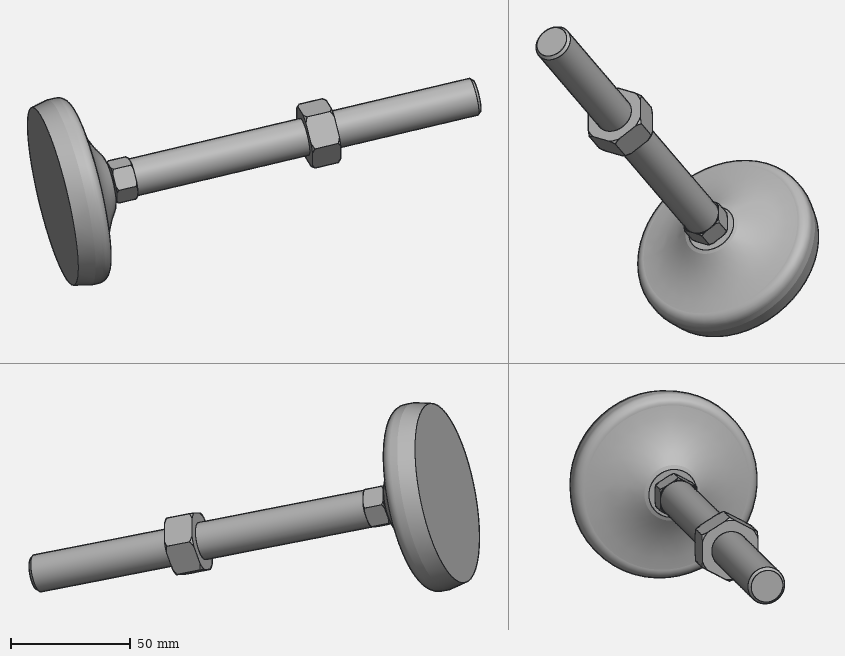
import cadquery as cq
import math

total_length = 185.0

base_radius = 80.0 / 2
sole_radius = 38.3
sole_taper_height = 7.2
rim_top = 10.5
rim_round = 4.5
shoulder_y = rim_top + rim_round
shoulder_radius = base_radius - rim_round
flank_mid_radius = 18.7
flank_mid_y = 20.0
crown_radius = 12.0
crown_y = 24.0
crown_flat_radius = 10.4
base_height = 24.6

neck_diameter = 10.0

stud_diameter = 16.0
stud_chamfer_width = 1.1
stud_chamfer_height = 1.3

foot_hex_flats = 16.0
foot_hex_start = 25.7
foot_hex_height = 9.0
foot_hex_chamfer = 0.7

nut_flats = 24.0
nut_start = 109.9
nut_height = 12.4
nut_chamfer = 1.1


def cylinder(diameter, start, height):
    """Cylinder on the Y axis, from Y = start toward +Y."""
    return cq.Workplane("XZ", origin=(0, start, 0)).circle(diameter / 2).extrude(-height)


def chamfered_hexagon(flats, start, height, chamfer):
    """Hexagon on the Y axis with two flats facing X and its corners turned off at both ends."""
    corner_radius = flats / 2 / math.cos(math.pi / 6)
    corners = [
        (corner_radius * math.sin(i * math.pi / 3), corner_radius * math.cos(i * math.pi / 3))
        for i in range(6)
    ]
    hexagon = cq.Workplane("XZ", origin=(0, start, 0)).polyline(corners).close().extrude(-height)
    turned_blank = cylinder(2 * corner_radius, start, height).edges("%CIRCLE").chamfer(chamfer)
    return hexagon.intersect(turned_blank)


def make_base():
    """Turned base: tapered sole, straight rim, rounded edge and concave flank up to the crown."""
    round_mid_offset = rim_round * math.sin(math.pi / 4)
    round_middle = (shoulder_radius + round_mid_offset, rim_top + round_mid_offset)
    return (
        cq.Workplane("XY")
        .lineTo(sole_radius, 0)
        .lineTo(base_radius, sole_taper_height)
        .lineTo(base_radius, rim_top)
        .threePointArc(round_middle, (shoulder_radius, shoulder_y))
        .threePointArc((flank_mid_radius, flank_mid_y), (crown_radius, crown_y))
        .lineTo(crown_flat_radius, base_height)
        .lineTo(0, base_height)
        .close()
        .revolve(360, (0, 0), (0, 1))
    )


def make_stud():
    """Round stud above the foot hexagon, chamfered at its free end."""
    start = foot_hex_start + foot_hex_height
    stud = cylinder(stud_diameter, start, total_length - start)
    return stud.faces(">Y").chamfer(stud_chamfer_height, stud_chamfer_width)


neck = cylinder(neck_diameter, base_height, foot_hex_start - base_height)
foot_hex = chamfered_hexagon(foot_hex_flats, foot_hex_start, foot_hex_height, foot_hex_chamfer)
nut = chamfered_hexagon(nut_flats, nut_start, nut_height, nut_chamfer)

result = make_base().union(neck).union(foot_hex).union(make_stud()).union(nut)